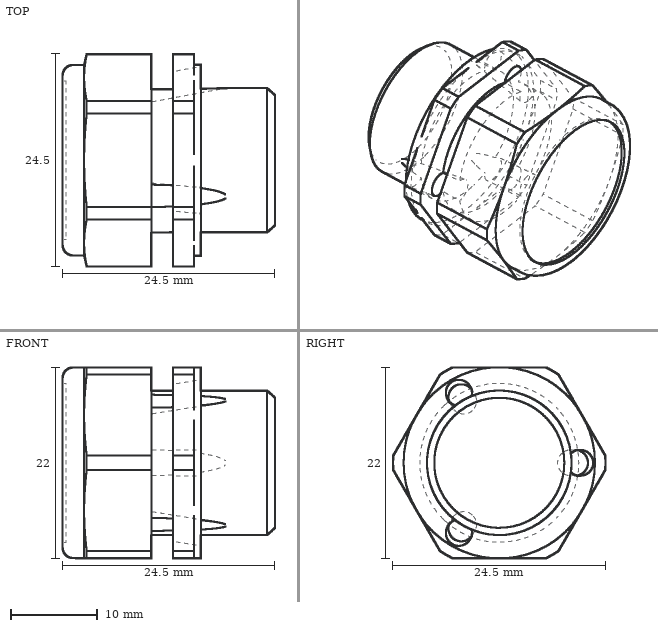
import cadquery as cq
import math

overall_length = 24.5
across_flats = 22.0
flat_radius = across_flats / 2
across_corners = 24.5
corner_radius = across_corners / 2

collar_length = 2.5
collar_fillet = 1.25
recess_diameter = 18.33
recess_depth = 0.4
hex_chamfer_length = 0.3
cap_end = 10.25

nut_start = 12.72
nut_hex_length = 2.45
nut_end = 15.95
flange_radius = 11.02

shank_radius = 8.33
tip_radius = 7.5
tip_chamfer_length = 0.9

groove_count = 3
groove_diameter = 3.0
groove_runout = 18.91
groove_slope = 10.5
groove_cut_length = 24.5


def cylinder(start, end, radius):
    """Cylinder on the X axis between two axial positions."""
    return cq.Workplane("YZ", origin=(start, 0, 0)).circle(radius).extrude(end - start)


def hexagon(start, end):
    """Hexagonal prism with its corners along Y and flats facing Z."""
    corner_distance = across_flats / math.cos(math.pi / 6)
    return cq.Workplane("YZ", origin=(start, 0, 0)).polygon(6, corner_distance).extrude(end - start)


def make_cap():
    collar = cylinder(0, collar_length, flat_radius).faces("<X").edges().fillet(collar_fillet)
    collar = collar.cut(cylinder(0, recess_depth, recess_diameter / 2))
    envelope = (
        cq.Workplane("XY")
        .moveTo(collar_length, 0)
        .lineTo(collar_length, flat_radius)
        .lineTo(collar_length + hex_chamfer_length, corner_radius)
        .lineTo(cap_end, corner_radius)
        .lineTo(cap_end, 0)
        .close()
        .revolve(360, (0, 0, 0), (1, 0, 0))
    )
    return collar.union(hexagon(collar_length, cap_end).intersect(envelope))


def make_nut():
    flange_start = nut_start + nut_hex_length
    envelope = cylinder(nut_start, flange_start, corner_radius)
    envelope = envelope.union(cylinder(flange_start, nut_end, flange_radius))
    return hexagon(nut_start, nut_end).intersect(envelope)


def make_groove_cutter():
    """Inclined round cutter on the +Y side whose tip leaves the shank at the run-out."""
    slope = math.radians(groove_slope)
    axis_direction = cq.Vector(-math.cos(slope), -math.sin(slope), 0)
    bottom_point = cq.Vector(groove_runout, shank_radius, 0)
    outward = cq.Vector(-math.sin(slope), math.cos(slope), 0)
    axis_point = bottom_point + outward * (groove_diameter / 2)
    start_point = axis_point - axis_direction * (groove_cut_length / 2)
    cutter = cq.Solid.makeCylinder(groove_diameter / 2, groove_cut_length, start_point, axis_direction)
    return cq.Workplane(cutter).intersect(cylinder(cap_end, overall_length, corner_radius))


def make_shank():
    return (
        cq.Workplane("XY")
        .moveTo(collar_length, 0)
        .lineTo(collar_length, shank_radius)
        .lineTo(overall_length - tip_chamfer_length, shank_radius)
        .lineTo(overall_length, tip_radius)
        .lineTo(overall_length, 0)
        .close()
        .revolve(360, (0, 0, 0), (1, 0, 0))
    )


def cut_grooves(body):
    cutter = make_groove_cutter()
    for index in range(groove_count):
        angle = index * 360 / groove_count
        body = body.cut(cutter.rotate((0, 0, 0), (1, 0, 0), angle))
    return body


body = make_shank().union(make_cap()).union(make_nut())
result = cut_grooves(body)